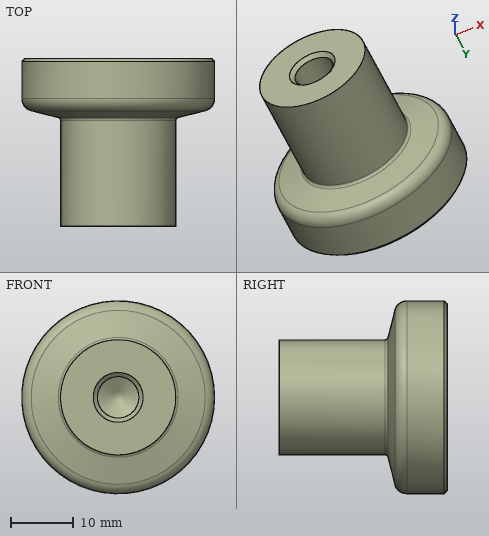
import cadquery as cq
import math

total_length = 27.0
head_radius = 15.5
stem_radius = 9.25

back_chamfer = 0.5
rim_length = 6.5
rim_rounding = 2.0
shoulder_slope = math.radians(14)
root_fillet = 0.5

hole_radius = 6.647 / 2
hole_mouth_radius = 4.0
hole_depth = 15.0
drill_tip_angle = math.radians(118)


def arc_point(center, radius, angle):
    """Point on a circle; the angle is measured from the radial direction towards -Y."""
    return (center[0] + radius * math.cos(angle), center[1] - radius * math.sin(angle))


def make_body():
    """Head and stem, revolved from a half profile of (radius, y) with the back face at y = 0."""
    cone_normal = math.pi / 2 - shoulder_slope
    rim_center = (head_radius - rim_rounding, -rim_length)
    rim_middle = arc_point(rim_center, rim_rounding, cone_normal / 2)
    rim_end = arc_point(rim_center, rim_rounding, cone_normal)

    fillet_center_radius = stem_radius + root_fillet
    center_distance = rim_rounding + root_fillet
    fillet_center_y = (
        rim_center[1]
        - center_distance / math.cos(shoulder_slope)
        - (rim_center[0] - fillet_center_radius) * math.tan(shoulder_slope)
    )
    fillet_center = (fillet_center_radius, fillet_center_y)
    fillet_start = arc_point(fillet_center, -root_fillet, cone_normal)
    fillet_middle = arc_point(fillet_center, -root_fillet, cone_normal / 2)
    fillet_end = (stem_radius, fillet_center_y)

    profile = (
        cq.Workplane("XY")
        .moveTo(0, 0)
        .lineTo(head_radius - back_chamfer, 0)
        .lineTo(head_radius, -back_chamfer)
        .lineTo(head_radius, -rim_length)
        .threePointArc(rim_middle, rim_end)
        .lineTo(*fillet_start)
        .threePointArc(fillet_middle, fillet_end)
        .lineTo(stem_radius, -total_length)
        .lineTo(0, -total_length)
        .close()
    )
    return profile.revolve(360, (0, 0, 0), (0, 1, 0))


def make_hole():
    """Drilled hole with a 45 degree countersunk mouth and a conical bottom."""
    mouth_y = -total_length
    countersink_depth = hole_mouth_radius - hole_radius
    bottom_y = mouth_y + hole_depth
    tip_y = bottom_y + hole_radius / math.tan(drill_tip_angle / 2)
    profile = (
        cq.Workplane("XY")
        .moveTo(0, mouth_y)
        .lineTo(hole_mouth_radius, mouth_y)
        .lineTo(hole_radius, mouth_y + countersink_depth)
        .lineTo(hole_radius, bottom_y)
        .lineTo(0, tip_y)
        .close()
    )
    return profile.revolve(360, (0, 0, 0), (0, 1, 0))


result = make_body().cut(make_hole())